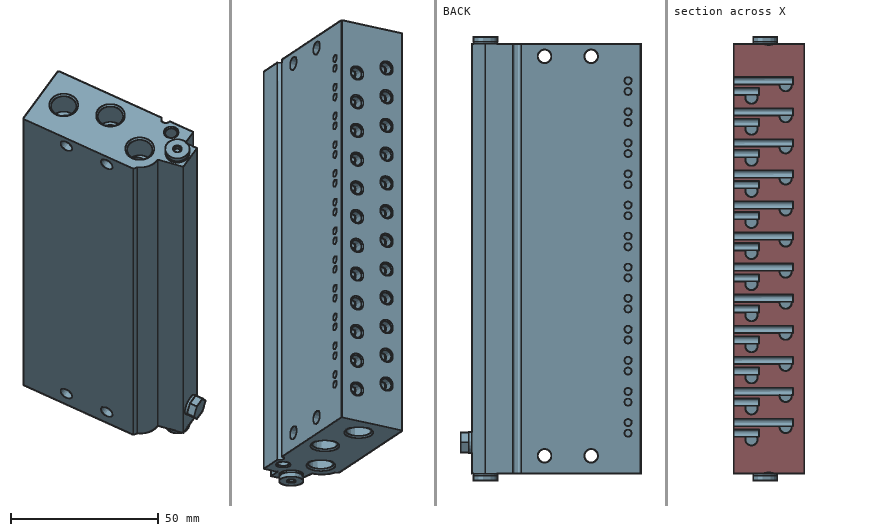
import cadquery as cq
import math

total_height = 150.5
body_height = 145.7
body_width = 57.5
body_depth = 24.0
top = body_height / 2
bottom = -top
plug_height = (total_height - body_height) / 2

front_width = 43.5
back_width = 53.0
rail_back = 18.5
rail_front_end = 9.2
edge_chamfer = 0.3
corner_radius = 6.6
corner_start_x = 44.1
rail_root = (48.5, 7.5)
corner_center = (rail_root[0] - corner_radius, rail_root[1])
groove_x = 42.1
groove_diameter = 3.0

channels = [
    ((10.0, 12.2), (9.0, 12.0)),
    ((25.0, 16.1), (25.0, 16.1)),
    ((39.7, 8.5), (40.8, 8.6)),
]
channel_diameter = 6.0
port_diameter = 8.6
port_mouth = 9.8
port_depth = 9.0

pilot_center = (46.5, 20.0)
pilot_diameter = 4.0
pilot_mouth = 5.0

outlet_count = 12
outlet_pitch = 10.5
outlet_diameter = 4.0
outlet_mouth = 5.0
outlet_depth = 4.5
outlet_rows = [
    (17.9, -61.3, 2.1),
    (6.3, -57.0, 1.5),
]
passage_diameter = 2.4

mount_diameter = 4.5
mount_xs = (17.0, 32.8)
mount_spacing = 135.5
mount_offset = 0.9

plug_center = (52.8, 13.2)
plug_diameter = 8.3
plug_neck_diameter = 8.1
plug_neck_length = 0.8
socket_mouth = 3.0
socket_diameter = 2.4
socket_depth = 1.5

fitting_y = 13.8
fitting_height = 10.5
collar_diameter = 7.2
collar_length = 1.0
hex_corners = 8.0
hex_length = 2.7


def rod(diameter, length, start, direction):
    return cq.Solid.makeCylinder(diameter / 2, length, cq.Vector(*start), cq.Vector(*direction))


def countersink(mouth, diameter, start, direction):
    """45-degree cone narrowing from mouth to diameter."""
    depth = (mouth - diameter) / 2
    return cq.Solid.makeCone(
        mouth / 2, diameter / 2, depth, cq.Vector(*start), cq.Vector(*direction)
    )


def make_profile_block():
    start_angle = -math.acos((corner_start_x - corner_center[0]) / corner_radius)

    def corner_point(angle):
        x, y = corner_center
        return x + corner_radius * math.cos(angle), y + corner_radius * math.sin(angle)

    return (
        cq.Workplane("XY", origin=(0, 0, bottom))
        .moveTo(edge_chamfer, 0)
        .lineTo(front_width - edge_chamfer, 0)
        .lineTo(front_width, edge_chamfer)
        .lineTo(*corner_point(start_angle))
        .threePointArc(corner_point(start_angle / 2), rail_root)
        .lineTo(body_width, rail_front_end)
        .lineTo(body_width, rail_back)
        .lineTo(back_width, rail_back)
        .lineTo(back_width, body_depth)
        .lineTo(edge_chamfer, body_depth)
        .lineTo(0, body_depth - edge_chamfer)
        .lineTo(0, edge_chamfer)
        .close()
        .extrude(body_height)
    )


def lengthwise_cutters():
    """Groove, channels with a port at each end, and pilot bore, all along Z."""
    up = (0, 0, 1)
    cutters = [
        rod(groove_diameter, body_height, (groove_x, body_depth, bottom), up),
        rod(pilot_diameter, body_height, (*pilot_center, bottom), up),
    ]
    for bore, _ in channels:
        cutters.append(rod(channel_diameter, body_height, (*bore, bottom), up))
    for z, inward in ((top, (0, 0, -1)), (bottom, up)):
        cutters.append(countersink(pilot_mouth, pilot_diameter, (*pilot_center, z), inward))
        for _, port in channels:
            cutters.append(rod(port_diameter, port_depth, (*port, z), inward))
            cutters.append(countersink(port_mouth, port_diameter, (*port, z), inward))
    return cutters


def outlet_cutters():
    """Blind outlets along X, each met at its end by a passage along Y."""
    cutters = []
    for y, lowest, rise in outlet_rows:
        passage_length = body_depth - y + outlet_mouth / 2
        for i in range(outlet_count):
            z = lowest + i * outlet_pitch
            passage_start = (outlet_depth, body_depth, z + rise)
            cutters.append(rod(outlet_diameter, outlet_depth, (0, y, z), (1, 0, 0)))
            cutters.append(countersink(outlet_mouth, outlet_diameter, (0, y, z), (1, 0, 0)))
            cutters.append(rod(passage_diameter, passage_length, passage_start, (0, -1, 0)))
    return cutters


def mount_cutters():
    cutters = []
    for x in mount_xs:
        for side in (1, -1):
            z = mount_offset + side * mount_spacing / 2
            cutters.append(rod(mount_diameter, body_depth, (x, 0, z), (0, 1, 0)))
    return cutters


def make_housing():
    body = make_profile_block()
    for cutter in lengthwise_cutters() + outlet_cutters() + mount_cutters():
        body = body.cut(cq.Workplane(cutter))
    return body


def make_plug(side):
    """Plug on the upper (side = 1) or lower (side = -1) end of the housing."""
    base = (*plug_center, side * top)
    end = (*plug_center, side * total_height / 2)
    outward = (0, 0, side)
    inward = (0, 0, -side)
    plug = cq.Workplane(rod(plug_neck_diameter, plug_height, base, outward))
    head = rod(plug_diameter, plug_height - plug_neck_length, end, inward)
    socket = rod(socket_diameter, socket_depth, end, inward)
    socket_edge = countersink(socket_mouth, socket_diameter, end, inward)
    return plug.union(cq.Workplane(head)).cut(cq.Workplane(socket)).cut(cq.Workplane(socket_edge))


def make_fitting():
    """Hexagonal fitting on the rail's outer face, with a round collar behind it."""
    fitting_z = bottom + fitting_height
    collar = rod(collar_diameter, collar_length, (body_width, fitting_y, fitting_z), (1, 0, 0))
    hexagon = (
        cq.Workplane("YZ", origin=(body_width + collar_length, fitting_y, fitting_z))
        .polygon(6, hex_corners)
        .extrude(hex_length)
    )
    return hexagon.union(cq.Workplane(collar))


housing = make_housing()
plugs = [make_plug(side) for side in (1, -1)]
fitting = make_fitting()

result = cq.Compound.makeCompound(
    [housing.solids().val(), *[plug.solids().val() for plug in plugs], fitting.solids().val()]
)